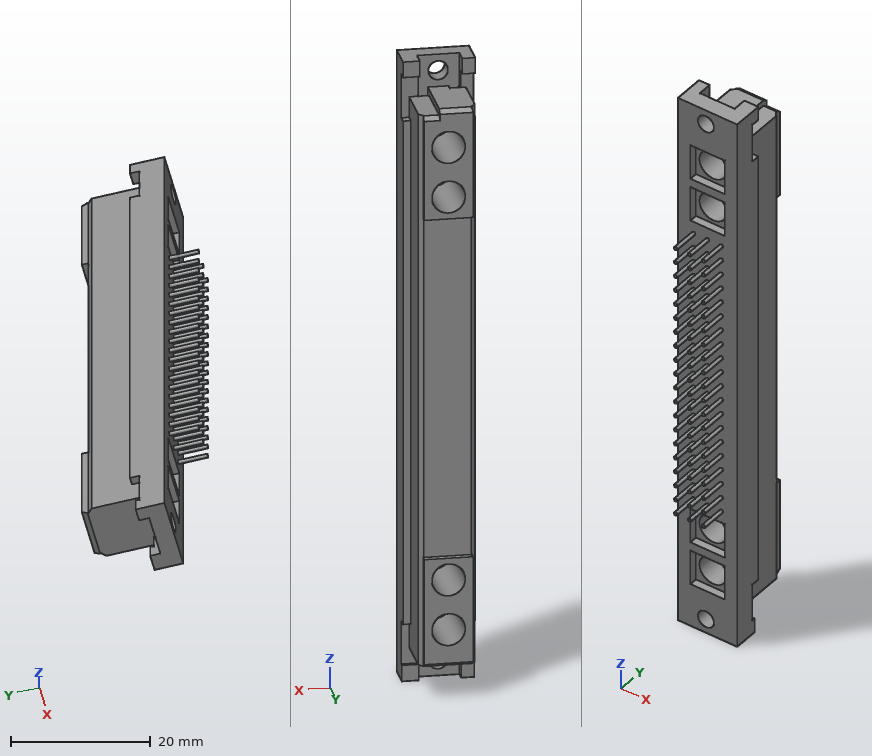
import cadquery as cq


length = 94.9
plate_width = 10.5
plate_depth = 5.1
recess_depth = 3.7
top_lip_height = 2.4
bottom_lip_height = 2.5
bottom_lip_depth = 4.3
flange_inset = 9.0

mount_diameter = 2.8
mount_inset = 2.5
mount_x = -0.3

groove_width = 6.2
groove_floor = 2.75

housing_width = 8.3
housing_back = 11.8
housing_chamfer = 0.7
housing_inset = 4.9
housing_bottom = housing_inset
housing_top = length - housing_inset

tongue_width = 3.0
tongue_right = mount_x + tongue_width / 2
pocket_drop = 2.4

step_drop = 0.95
step_top = housing_top - step_drop

pad_width = 7.1
pad_length = 16.6
pad_height = 0.95
pad_bevel_depth = 0.9
pad_bevel_height = 0.6
pad_back = housing_back + pad_height

cavity_side = 6.1
cavity_depth = 1.3
cavity_diameter = 4.8
cavity_inset = 10.6
cavity_pitch = 7.6

pin_diameter = 0.6
pin_length = 4.4
pin_root = 0.5
pin_rows = 20
pin_columns = 3
pin_rows_span = 48.2
pin_column_pitch = 2.5


def block(width, y_start, y_end, z_start, z_end, x=0.0):
    """Box centred on x, between two Y and two Z levels."""
    return (
        cq.Workplane("XY", origin=(x, y_start, z_start))
        .box(width, y_end - y_start, z_end - z_start, centered=(True, False, False))
    )


def rod(diameter, x, z, y_start, y_end):
    """Cylinder along Y."""
    return cq.Workplane("XZ", origin=(x, y_start, z)).circle(diameter / 2).extrude(y_start - y_end)


def make_plate():
    """Plate with a flange, two end lips and the groove in both ends."""
    plate = block(plate_width, 0, recess_depth, 0, length)
    plate = plate.union(block(plate_width, 0, plate_depth, flange_inset, length - flange_inset))
    plate = plate.union(block(plate_width, 0, bottom_lip_depth, 0, bottom_lip_height))
    plate = plate.union(block(plate_width, 0, plate_depth, length - top_lip_height, length))
    for z_start, z_end in ((0, housing_bottom), (step_top, length)):
        plate = plate.cut(block(groove_width, groove_floor, plate_depth, z_start, z_end, mount_x))
    return plate


def pad(z_inner, z_outer):
    """Pad between two levels, bevelled at its outer end."""
    outward = 1 if z_outer > z_inner else -1
    return (
        cq.Workplane("YZ", origin=(-pad_width / 2, 0, 0))
        .moveTo(housing_back, z_inner)
        .lineTo(pad_back, z_inner)
        .lineTo(pad_back, z_outer - outward * pad_bevel_height)
        .lineTo(pad_back - pad_bevel_depth, z_outer)
        .lineTo(housing_back, z_outer)
        .close()
        .extrude(pad_width)
    )


def housing_up_to(top):
    """Housing with both pads, ending at the given level."""
    body = block(housing_width, groove_floor, housing_back, housing_bottom, top)
    body = body.edges("|Z and >Y").chamfer(housing_chamfer)
    body = body.union(pad(housing_bottom + pad_length, housing_bottom))
    return body.union(pad(housing_top - pad_length, top))


def make_housing():
    """Full-height housing left of the step joined to the lower housing on its right."""
    high_side_width = tongue_right + housing_width / 2
    high_side_x = tongue_right - high_side_width / 2
    high_side = block(high_side_width, groove_floor, pad_back, housing_bottom, housing_top, high_side_x)
    return housing_up_to(step_top).union(housing_up_to(housing_top).intersect(high_side))


def tongue_pocket(side, top):
    """Wedge beside the tongue, from the groove wall down to the tongue; side is -1 or 1."""
    groove_wall = mount_x + side * groove_width / 2
    tongue_wall = mount_x + side * tongue_width / 2
    return (
        cq.Workplane("XZ", origin=(0, groove_floor, 0))
        .moveTo(groove_wall, top)
        .lineTo(tongue_wall, top)
        .lineTo(tongue_wall, top - pocket_drop)
        .close()
        .extrude(groove_floor - recess_depth)
    )


def cavity(z):
    """Square pocket in the pin side with a bore through to the pad back."""
    half_side = cavity_side / 2
    pocket = block(cavity_side, 0, cavity_depth, z - half_side, z + half_side)
    return pocket.union(rod(cavity_diameter, 0, z, 0, pad_back))


result = make_plate().union(make_housing())
result = result.cut(tongue_pocket(-1, housing_top))
result = result.cut(tongue_pocket(1, step_top))

for z in (mount_inset, length - mount_inset):
    result = result.cut(rod(mount_diameter, mount_x, z, 0, plate_depth))

for inset in (cavity_inset, cavity_inset + cavity_pitch):
    result = result.cut(cavity(inset))
    result = result.cut(cavity(length - inset))

pin_row_pitch = pin_rows_span / (pin_rows - 1)
for row in range(pin_rows):
    z = (length - pin_rows_span) / 2 + row * pin_row_pitch
    for column in range(pin_columns):
        x = (column - (pin_columns - 1) / 2) * pin_column_pitch
        result = result.union(rod(pin_diameter, x, z, -pin_length, pin_root))